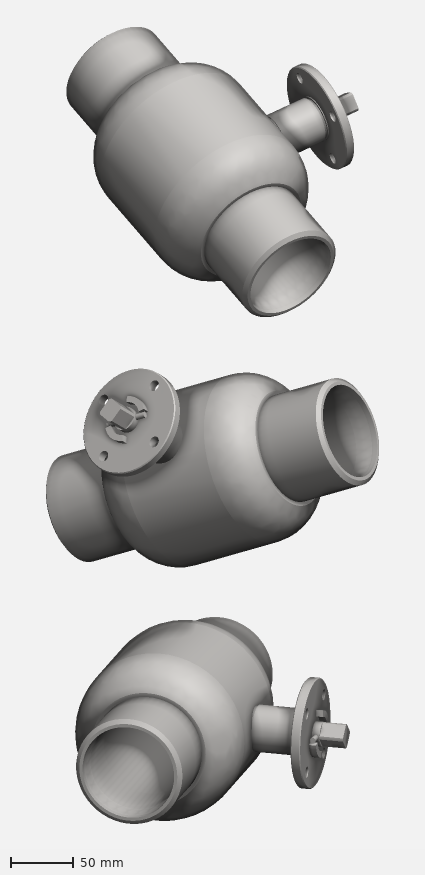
import cadquery as cq
import math


overall_length = 270.0
housing_diameter = 140.0
housing_radius = housing_diameter / 2
barrel_half_length = 40.2
housing_half_length = 75.3
dome_end_radius = 47.8
bore_radius = 37.5

pipe_radius = 44.5
pipe_mouth_radius = 38.3
mouth_depth = 5.0
taper_end_depth = 20.0
bevel_length = 2.7
bevel_depth = 3.5

neck_radius = 19.2
neck_top = 124.0
groove_radius = 17.5
groove_bottom = 106.6
groove_top = 109.0
spigot_radius = 18.4
spigot_depth = 5.5
stop_pocket_radius = 14.0
stop_start_angle = -11.0
stop_end_angle = 97.0

flange_radius = 45.0
flange_bottom = 110.0
flange_top = 118.0
flange_chamfer = 0.8
bolt_count = 4
bolt_first_angle = 45.0
bolt_circle_radius = 35.0
bolt_hole_radius = 4.5

stem_radius = 10.0
overall_width = 214.0
stem_top = overall_width - housing_radius
stem_shoulder = 124.5
stem_square = 16.0
pin_radius = 2.5
pin_length = 36.2

spigot_bottom = housing_radius - spigot_depth
pin_height = (flange_top + neck_top) / 2


def upright_cylinder(radius, y_bottom, y_top):
    """Solid cylinder about the Y axis between two heights."""
    return cq.Workplane("XZ", origin=(0, y_bottom, 0)).circle(radius).extrude(y_bottom - y_top)


def make_housing():
    """Domed barrel with a through bore and a round recess for the neck."""
    dome_length = housing_half_length - barrel_half_length
    dome_drop = housing_radius - dome_end_radius
    dome_radius = (dome_length ** 2 + dome_drop ** 2) / (2 * dome_drop)
    half_sweep = math.asin(dome_length / dome_radius) / 2
    middle_x = barrel_half_length + dome_radius * math.sin(half_sweep)
    middle_y = housing_radius - dome_radius * (1 - math.cos(half_sweep))
    body = (
        cq.Workplane("XY")
        .moveTo(-housing_half_length, bore_radius)
        .lineTo(-housing_half_length, dome_end_radius)
        .threePointArc((-middle_x, middle_y), (-barrel_half_length, housing_radius))
        .lineTo(barrel_half_length, housing_radius)
        .threePointArc((middle_x, middle_y), (housing_half_length, dome_end_radius))
        .lineTo(housing_half_length, bore_radius)
        .close()
        .revolve(360, (0, 0, 0), (1, 0, 0))
    )
    return body.cut(upright_cylinder(spigot_radius, spigot_bottom, housing_radius))


def make_pipe(side):
    """Pipe butted on a housing end; side is -1 for the -X pipe and +1 for the +X pipe."""
    end = overall_length / 2
    profile = [
        (housing_half_length, bore_radius),
        (housing_half_length, pipe_radius),
        (end - bevel_length, pipe_radius),
        (end, pipe_radius - bevel_depth),
        (end, pipe_mouth_radius),
        (end - mouth_depth, pipe_mouth_radius),
        (end - taper_end_depth, bore_radius),
    ]
    points = [(side * x, y) for x, y in profile]
    return cq.Workplane("XY").polyline(points).close().revolve(360, (0, 0, 0), (1, 0, 0))


def stop_sector(first_angle):
    """Wedge that opens the neck rim so that the stop pin can swing."""
    reach = 2 * neck_radius
    middle_angle = (stop_start_angle + stop_end_angle) / 2
    angles = [stop_start_angle, middle_angle, stop_end_angle]
    outline = [(0, 0)]
    for angle in angles:
        turn = math.radians(first_angle + angle)
        outline.append((reach * math.cos(turn), reach * math.sin(turn)))
    height = neck_top - flange_top
    return cq.Workplane("XZ", origin=(0, flange_top, 0)).polyline(outline).close().extrude(-height)


def make_neck():
    """Sleeve with a spigot, an outer groove and two opposite stop openings in its rim."""
    neck = upright_cylinder(neck_radius, housing_radius, neck_top)
    neck = neck.union(upright_cylinder(spigot_radius, spigot_bottom, housing_radius))
    groove = upright_cylinder(neck_radius, groove_bottom, groove_top)
    neck = neck.cut(groove.cut(upright_cylinder(groove_radius, groove_bottom, groove_top)))
    neck = neck.cut(upright_cylinder(stem_radius, spigot_bottom, neck_top))
    neck = neck.cut(upright_cylinder(stop_pocket_radius, flange_top, neck_top))
    for first_angle in (0, 180):
        neck = neck.cut(stop_sector(first_angle))
    return neck


def make_flange():
    """Round plate on the neck with chamfered rims and a ring of bolt holes."""
    plate = upright_cylinder(flange_radius, flange_bottom, flange_top).edges().chamfer(flange_chamfer)
    plate = plate.cut(upright_cylinder(neck_radius, flange_bottom, flange_top))
    hole = upright_cylinder(bolt_hole_radius, flange_bottom, flange_top)
    hole = hole.translate((bolt_circle_radius, 0, 0))
    for index in range(bolt_count):
        angle = bolt_first_angle + index * 360 / bolt_count
        plate = plate.cut(hole.rotate((0, 0, 0), (0, 1, 0), angle))
    return plate


def make_pin():
    """Stop pin lying along X across the stem."""
    start = (-pin_length / 2, pin_height, 0)
    return cq.Workplane("YZ", origin=start).circle(pin_radius).extrude(pin_length)


def make_stem(pin):
    """Round stem with a square drive turned 45 degrees and a cross hole for the pin."""
    stem = upright_cylinder(stem_radius, spigot_bottom, stem_top)
    drive_length = stem_top - stem_shoulder
    square = (
        cq.Workplane("XZ", origin=(0, stem_shoulder, 0))
        .transformed(rotate=(0, 0, 45))
        .rect(stem_square, stem_square)
        .extrude(-drive_length)
    )
    waste = upright_cylinder(stem_radius, stem_shoulder, stem_top).cut(square)
    return stem.cut(waste).cut(pin)


housing = make_housing()
pipes = [make_pipe(side) for side in (-1, 1)]
neck = make_neck()
flange = make_flange()
pin = make_pin()
stem = make_stem(pin)

result = cq.Compound.makeCompound([
    housing.val(),
    *[pipe.val() for pipe in pipes],
    neck.val(),
    flange.val(),
    stem.val(),
    pin.val(),
])